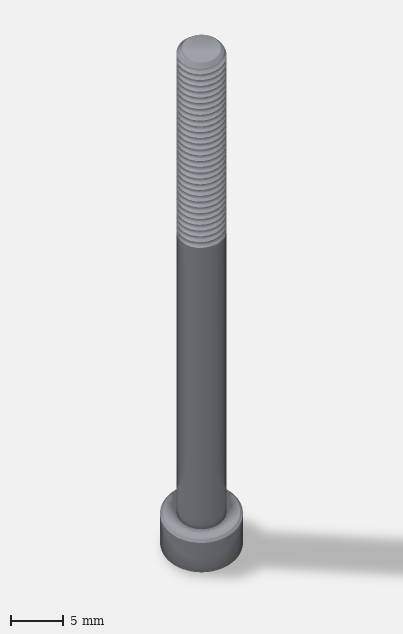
import cadquery as cq
import math

total_length = 68.3
head_height = 4.85
head_radius = 3.95
shank_radius = 2.4

head_base_chamfer = 0.55
head_shoulder_chamfer = 0.3
tip_chamfer = 0.55

thread_length = 24.95
turn_count = 31.4
flank_half_angle = math.radians(30)
groove_offset = 0.5
groove_overshoot = 0.15

pitch = thread_length / turn_count
groove_mouth_width = 7 / 8 * pitch
groove_root_width = pitch / 8
groove_depth = (groove_mouth_width - groove_root_width) / 2 / math.tan(flank_half_angle)
shoulder_z = total_length - thread_length


def make_head():
    blank = cq.Workplane("XY").circle(head_radius).extrude(head_height)
    blank = blank.faces("<Z").chamfer(head_base_chamfer)
    return blank.faces(">Z").chamfer(head_shoulder_chamfer)


def make_plain_shank():
    return cq.Workplane("XY").circle(shank_radius).extrude(shoulder_z)


def make_thread_groove():
    """Helical trapezoid that runs past the shoulder and past the tip."""
    turns_below_shoulder = 2
    turns_above_tip = 1
    root_radius = shank_radius - groove_depth
    mouth_radius = shank_radius + groove_overshoot
    root_half = groove_root_width / 2
    mouth_half = groove_mouth_width / 2 + groove_overshoot * math.tan(flank_half_angle)
    start_z = shoulder_z + groove_offset - turns_below_shoulder * pitch
    groove_height = thread_length + (turns_below_shoulder + turns_above_tip) * pitch

    corners = [
        (root_radius, start_z - root_half),
        (mouth_radius, start_z - mouth_half),
        (mouth_radius, start_z + mouth_half),
        (root_radius, start_z + root_half),
    ]
    edges = [
        cq.Wire.makeHelix(pitch, groove_height, radius).translate(cq.Vector(0, 0, z))
        for radius, z in corners
    ]
    sides = [cq.Face.makeRuledSurface(edges[i - 1], edges[i]) for i in range(len(edges))]
    starts = [edge.startPoint() for edge in edges]
    ends = [edge.endPoint() for edge in edges]
    caps = [cq.Face.makeFromWires(cq.Wire.makePolygon(points, close=True)) for points in (starts, ends)]
    return cq.Workplane(cq.Solid.makeSolid(cq.Shell.makeShell(sides + caps)))


def make_threaded_rod():
    """Grooved rod that is longer than the thread at both ends."""
    extra_length = 4 * pitch
    rod = (
        cq.Workplane("XY", origin=(0, 0, shoulder_z - extra_length))
        .circle(shank_radius)
        .extrude(thread_length + 2 * extra_length)
    )
    return rod.cut(make_thread_groove(), clean=False)


def make_thread_envelope():
    """Space between the flat shoulder and the chamfered tip, wider than the rod."""
    clearance = 0.7
    outer_radius = shank_radius + clearance
    return (
        cq.Workplane("XY", origin=(0, 0, shoulder_z))
        .circle(outer_radius)
        .extrude(thread_length)
        .faces(">Z")
        .chamfer(tip_chamfer + clearance)
    )


threaded_end = make_threaded_rod().intersect(make_thread_envelope(), clean=False)
result = make_head().union(make_plain_shank()).union(threaded_end)